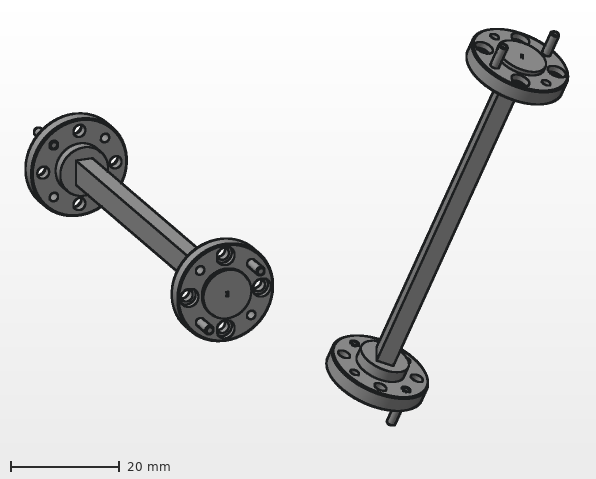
import cadquery as cq
import math

PIN_TIP_X = 42.0
FACE_X = 38.1
RIM_OUTER_X = 37.3
RIM_THICKNESS = 3.3
HUB_BACK_X = 31.7

FLANGE_DIAMETER = 19.05
FLANGE_CHAMFER = 0.25
HUB_DIAMETER = 9.5
RIM_INNER_X = RIM_OUTER_X - RIM_THICKNESS

TUBE_WIDTH = 3.3
TUBE_HEIGHT = 4.8
BORE_WIDTH = 0.4
BORE_HEIGHT = 0.8

HOLE_CIRCLE_DIAMETER = 14.35
SCREW_ANGLES = (0, 90, 180, 270)
SCREW_HOLE_DIAMETER = 2.35
COUNTERBORE_DIAMETER = 3.5
COUNTERBORE_DEPTH = 1.35

PIN_DIAMETER = 1.7
PIN_CHAMFER = 0.21
PIN_ANGLES = (45, 225)
EMPTY_PIN_HOLE_ANGLES = (135, 315)


def hole_centre(angle):
    """(Y, Z) point on the hole circle, with the angle turned from +Y towards +Z."""
    turn = math.radians(angle)
    radius = HOLE_CIRCLE_DIAMETER / 2
    return (radius * math.cos(turn), radius * math.sin(turn))


def rod(diameter, start_x, end_x, centres=((0, 0),)):
    """Round bars along X at the given (Y, Z) centres."""
    plane = cq.Workplane("YZ", origin=(start_x, 0, 0))
    return plane.pushPoints(centres).circle(diameter / 2).extrude(end_x - start_x)


def bar(width, height, length):
    """Rectangular bar along X, centred on the origin."""
    return cq.Workplane("XY").box(length, width, height)


def turn_to_other_end(body):
    return body.rotate((0, 0, 0), (0, 0, 1), 180)


def make_flange():
    """Flange at the +X end, with its screw holes and pin holes."""
    flange = rod(FLANGE_DIAMETER, RIM_INNER_X, RIM_OUTER_X).edges().chamfer(FLANGE_CHAMFER)
    flange = flange.union(rod(HUB_DIAMETER, HUB_BACK_X, FACE_X))

    screw_centres = [hole_centre(angle) for angle in SCREW_ANGLES]
    flange = flange.cut(rod(SCREW_HOLE_DIAMETER, RIM_INNER_X, RIM_OUTER_X, screw_centres))
    counterbore_floor_x = RIM_OUTER_X - COUNTERBORE_DEPTH
    flange = flange.cut(rod(COUNTERBORE_DIAMETER, counterbore_floor_x, RIM_OUTER_X, screw_centres))

    pin_hole_centres = [hole_centre(angle) for angle in PIN_ANGLES + EMPTY_PIN_HOLE_ANGLES]
    return flange.cut(rod(PIN_DIAMETER, RIM_INNER_X, RIM_OUTER_X, pin_hole_centres))


def make_waveguide():
    """Tube and both flanges as one solid, with the bore through its whole length."""
    flange = make_flange()
    waveguide = bar(TUBE_WIDTH, TUBE_HEIGHT, 2 * HUB_BACK_X)
    waveguide = waveguide.union(flange).union(turn_to_other_end(flange))
    return waveguide.cut(bar(BORE_WIDTH, BORE_HEIGHT, 2 * FACE_X))


def make_pin(angle):
    """Pin of the +X flange, flush with the back of the rim and chamfered at both ends."""
    pin = rod(PIN_DIAMETER, RIM_INNER_X, PIN_TIP_X, [hole_centre(angle)])
    return pin.faces("<X or >X").chamfer(PIN_CHAMFER)


waveguide = make_waveguide()
pins = []
for pin_angle in PIN_ANGLES:
    pin = make_pin(pin_angle)
    pins.append(pin.val())
    pins.append(turn_to_other_end(pin).val())

result = cq.Compound.makeCompound([waveguide.val(), *pins])